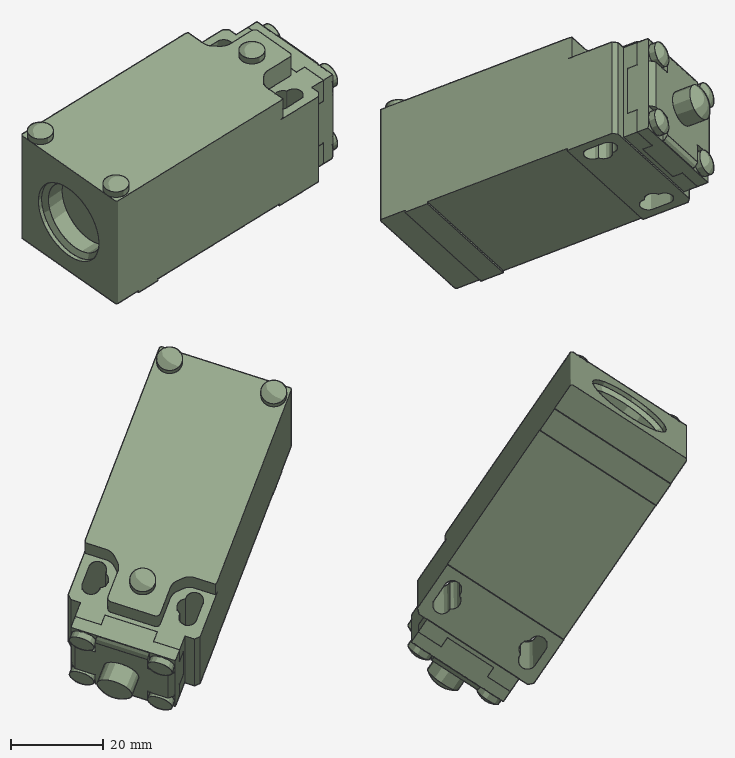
import cadquery as cq
import math


HOUSING_WIDTH = 30.3
HOUSING_LENGTH = 61.0
HOUSING_HEIGHT = 29.5
CABLE_END_FILLET = 0.5
SHOULDER_CHAMFER = 1.0

HEAD_SIZE = 24.0
NECK_END = 64.5
HEAD_CENTRE_Z = HEAD_SIZE / 2
TAB_WIDTH = 12.0
TAB_START = 62.05
HEAD_FACE = 67.3
HEAD_TAPER_LENGTH = 0.5
HEAD_TAPER_INSET = 0.1
CROSS_END_STEPS = [(0, 0), (0.3, 0.2), (0.6, 0.5), (1.1, 1.3)]
CROSS_RISE = CROSS_END_STEPS[-1][0]

TONGUE_WIDTH = 12.0
TONGUE_FILLET = 1.0
POCKET_WALL_Y = 49.55
POCKET_CORNER_CUT = 2.8
POCKET_FILLET = 3.0
POCKET_EDGE_CUT_X = 0.15
POCKET_EDGE_CUT_Y = 0.75

SLOT_WIDTH = 3.95
SLOT_LENGTH = 8.1
SLOT_CENTRE_X = 11.15
SLOT_BULGE_X = 9.95
SLOT_CENTRE_Y = 54.45

PAD_DEPTH = 0.5
BASE_PADS = [(6.55, 12.3), (48.4, HOUSING_LENGTH)]

ENTRY_CENTRE_Z = 14.05
ENTRY_MOUTH_DIAMETER = 19.2
ENTRY_BORE_DIAMETER = 16.95
ENTRY_MOUTH_DEPTH = 1.0
ENTRY_CONE_DEPTH = 1.0
ENTRY_DEPTH = 6.0

SCREW_DIAMETER = 5.65
SCREW_RIM_HEIGHT = 1.55
SCREW_DOME_HEIGHT = 0.9
COVER_SCREW_X = 11.95
COVER_SCREW_Y = SCREW_DIAMETER / 2
HEAD_SCREW_OFFSET = 9.0

PLUNGER_DIAMETER = 8.0
PLUNGER_DOME_HEIGHT = 1.4
PLUNGER_TIP = 74.3


def cuboid(x_range, y_range, z_range):
    """Box between the given limits along each axis."""
    sizes = [end - start for start, end in (x_range, y_range, z_range)]
    return cq.Workplane("XY").box(*sizes, centered=False).translate((x_range[0], y_range[0], z_range[0]))


def domed_cylinder(diameter, rim_height, dome_height):
    """Cylinder standing on the origin along Z, closed by a spherical dome."""
    radius = diameter / 2
    top = rim_height + dome_height
    sphere_radius = (radius**2 + dome_height**2) / (2 * dome_height)
    half_angle = math.asin(radius / sphere_radius) / 2
    middle = (
        sphere_radius * math.sin(half_angle),
        top - sphere_radius * (1 - math.cos(half_angle)),
    )
    return (
        cq.Workplane("XZ")
        .lineTo(radius, 0)
        .lineTo(radius, rim_height)
        .threePointArc(middle, (0, top))
        .close()
        .revolve(360, (0, 0, 0), (0, 1, 0))
    )


def facing_plus_y(shape):
    """Turn a shape that stands along +Z so that it points along +Y."""
    return shape.rotate((0, 0, 0), (1, 0, 0), -90)


def screw():
    return domed_cylinder(SCREW_DIAMETER, SCREW_RIM_HEIGHT, SCREW_DOME_HEIGHT)


def shoulder_block():
    """Main block with rounded cable-end corners, chamfered shoulders and the base pads."""
    half = HOUSING_WIDTH / 2
    block = cuboid((-half, half), (0, HOUSING_LENGTH), (0, HOUSING_HEIGHT))
    block = block.edges("|Z and <Y").fillet(CABLE_END_FILLET)
    for start, end in BASE_PADS:
        block = block.union(cuboid((-half, half), (start, end), (-PAD_DEPTH, 0)))
    return block.edges("|Z and >Y").chamfer(SHOULDER_CHAMFER)


def corner_pocket():
    """Space beside the tongue on the +X side, above the neck."""
    flank = TONGUE_WIDTH / 2
    side = HOUSING_WIDTH / 2
    pocket = (
        cq.Workplane("XY", origin=(0, 0, HEAD_SIZE))
        .moveTo(flank, HOUSING_LENGTH)
        .lineTo(flank, POCKET_WALL_Y + POCKET_CORNER_CUT)
        .lineTo(flank + POCKET_CORNER_CUT, POCKET_WALL_Y)
        .lineTo(side, POCKET_WALL_Y)
        .lineTo(side, HOUSING_LENGTH)
        .close()
        .extrude(HOUSING_HEIGHT - HEAD_SIZE)
    )
    rounded_corners = cq.selectors.BoxSelector(
        (flank - 0.75, POCKET_WALL_Y - 0.75, HEAD_SIZE),
        (flank + POCKET_CORNER_CUT + 0.75, POCKET_WALL_Y + POCKET_CORNER_CUT + 0.75, HOUSING_HEIGHT),
    )
    pocket = pocket.edges("|Z").edges(rounded_corners).fillet(POCKET_FILLET)
    edge_cut = (
        cq.Workplane("XY", origin=(0, 0, HEAD_SIZE))
        .moveTo(side - POCKET_EDGE_CUT_X, POCKET_WALL_Y)
        .lineTo(side, POCKET_WALL_Y - POCKET_EDGE_CUT_Y)
        .lineTo(side, POCKET_WALL_Y)
        .close()
        .extrude(HOUSING_HEIGHT - HEAD_SIZE)
    )
    return pocket.union(edge_cut)


def mounting_slot():
    """Slot on the +X side with a round bulge toward the middle of the switch."""
    sketch = cq.Workplane("XY", origin=(0, 0, -PAD_DEPTH))
    depth = HEAD_SIZE + PAD_DEPTH
    slot = sketch.center(SLOT_CENTRE_X, SLOT_CENTRE_Y).slot2D(SLOT_LENGTH, SLOT_WIDTH, 90).extrude(depth)
    bulge = sketch.center(SLOT_BULGE_X, SLOT_CENTRE_Y).circle(SLOT_WIDTH / 2).extrude(depth)
    return slot.union(bulge)


def cable_entry():
    """Stepped blind bore in the cable end: mouth, cone, bore."""
    mouth = ENTRY_MOUTH_DIAMETER / 2
    bore = ENTRY_BORE_DIAMETER / 2
    cone_end = ENTRY_MOUTH_DEPTH + ENTRY_CONE_DEPTH
    return (
        cq.Workplane("XY")
        .polyline(
            [(0, 0), (mouth, 0), (mouth, ENTRY_MOUTH_DEPTH), (bore, cone_end), (bore, ENTRY_DEPTH), (0, ENTRY_DEPTH)]
        )
        .close()
        .revolve(360, (0, 0, 0), (0, 1, 0))
        .translate((0, 0, ENTRY_CENTRE_Z))
    )


def tab_cross(end):
    """Crossing bars as wide as the tabs, spanning the head from the tab ends to the given Y."""
    half = HEAD_SIZE / 2
    half_tab = TAB_WIDTH / 2
    y_range = (TAB_START, end)
    across = cuboid((-half, half), y_range, (HEAD_CENTRE_Z - half_tab, HEAD_CENTRE_Z + half_tab))
    upright = cuboid((-half_tab, half_tab), y_range, (0, HEAD_SIZE))
    return across.union(upright)


def make_housing():
    half = HEAD_SIZE / 2
    body = shoulder_block()
    tongue_corners = cq.selectors.BoxSelector(
        (-TONGUE_WIDTH / 2 - 0.75, HOUSING_LENGTH - 0.75, HEAD_SIZE),
        (TONGUE_WIDTH / 2 + 0.75, HOUSING_LENGTH + 0.75, HOUSING_HEIGHT),
    )
    pocket = corner_pocket()
    body = body.cut(pocket).cut(pocket.mirror("YZ"))
    body = body.edges("|Z").edges(tongue_corners).fillet(TONGUE_FILLET)
    body = body.union(cuboid((-half, half), (HOUSING_LENGTH, NECK_END), (0, HEAD_SIZE)))
    body = body.cut(tab_cross(NECK_END))
    slot = mounting_slot()
    body = body.cut(slot).cut(slot.mirror("YZ")).cut(cable_entry())
    for x, y in [(-COVER_SCREW_X, COVER_SCREW_Y), (COVER_SCREW_X, COVER_SCREW_Y), (0, SLOT_CENTRE_Y)]:
        body = body.union(screw().translate((x, y, HOUSING_HEIGHT)))
    return body


def raised_bar():
    """Bar along X on the head face, its ends stepping inward as it rises; centred on the head axis."""
    half = HEAD_SIZE / 2 - HEAD_TAPER_INSET
    right_end = [(half - inset, HEAD_FACE + rise) for rise, inset in CROSS_END_STEPS]
    left_end = [(-x, y) for x, y in reversed(right_end)]
    return cq.Workplane("XY").polyline(right_end + left_end).close().extrude(TAB_WIDTH / 2, both=True)


def make_head():
    half = HEAD_SIZE / 2
    plate = cuboid((-half, half), (NECK_END, HEAD_FACE), (0, HEAD_SIZE))
    plate = plate.faces(">Y").chamfer(HEAD_TAPER_LENGTH, HEAD_TAPER_INSET)
    head = plate.union(tab_cross(NECK_END))
    for turn in (0, 90):
        bar = raised_bar().rotate((0, 0, 0), (0, 1, 0), turn)
        head = head.union(bar.translate((0, 0, HEAD_CENTRE_Z)))
    for x in (-HEAD_SCREW_OFFSET, HEAD_SCREW_OFFSET):
        for z in (HEAD_CENTRE_Z - HEAD_SCREW_OFFSET, HEAD_CENTRE_Z + HEAD_SCREW_OFFSET):
            head = head.union(facing_plus_y(screw()).translate((x, HEAD_FACE, z)))
    return head


def make_plunger():
    """Domed plunger standing on the raised cross of the head."""
    seat = HEAD_FACE + CROSS_RISE
    rim_height = PLUNGER_TIP - PLUNGER_DOME_HEIGHT - seat
    plunger = domed_cylinder(PLUNGER_DIAMETER, rim_height, PLUNGER_DOME_HEIGHT)
    return facing_plus_y(plunger).translate((0, seat, HEAD_CENTRE_Z))


housing = make_housing()
head = make_head()
plunger = make_plunger()

result = cq.Compound.makeCompound([housing.val(), head.val(), plunger.val()])